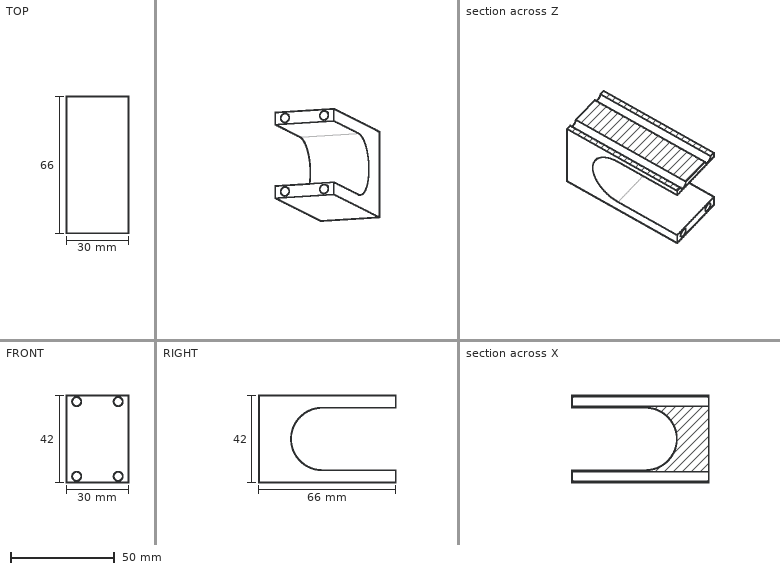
import cadquery as cq

width = 30.0
length = 66.0
height = 42.0

arm_thickness = 6.0
web_thickness = 15.5
slot_radius = height / 2 - arm_thickness
slot_center_y = web_thickness + slot_radius

hole_diameter = 4.3
hole_spacing_x = 20.0
hole_spacing_z = height - arm_thickness


def make_block():
    """Block centred on X and Z, with its closed end on Y = 0."""
    return cq.Workplane("XY").box(width, length, height, centered=(True, False, True))


def make_slot():
    """Slot with a half-round bottom, cut through the block along X."""
    return (
        cq.Workplane("YZ")
        .moveTo(length, slot_radius)
        .lineTo(slot_center_y, slot_radius)
        .threePointArc((web_thickness, 0), (slot_center_y, -slot_radius))
        .lineTo(length, -slot_radius)
        .close()
        .extrude(width / 2, both=True)
    )


def make_holes():
    """Four holes running the whole length of the arms."""
    return (
        cq.Workplane("XZ")
        .rarray(hole_spacing_x, hole_spacing_z, 2, 2)
        .circle(hole_diameter / 2)
        .extrude(-length)
    )


result = make_block().cut(make_slot()).cut(make_holes())